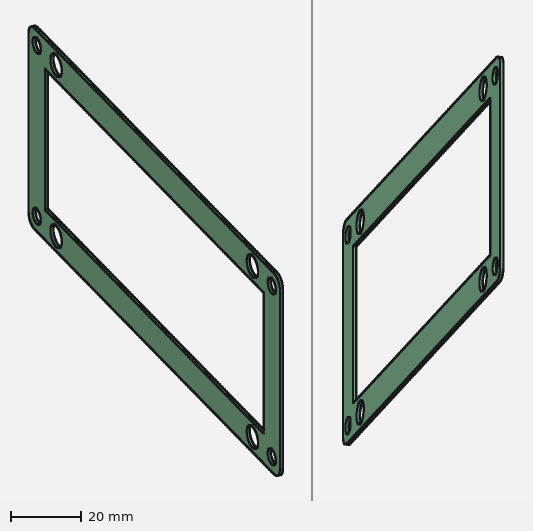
import cadquery as cq

length = 155.0
height = 67.3
thickness = 1.0
corner_radius = 3.5

border = 10.0
window_length = length - 2 * border
window_height = height - 2 * border

corner_hole_diameter = 5.0
inner_hole_diameter = 7.0
corner_hole_spacing = length - border
inner_hole_spacing = 121.0
row_spacing = height - border


def drill_four(plate, spacing, diameter):
    """Cut four through holes at the corners of a centered rectangle."""
    return (
        plate.faces("<Y").workplane(centerOption="CenterOfBoundBox")
        .rect(spacing, row_spacing, forConstruction=True)
        .vertices()
        .hole(diameter)
    )


frame = cq.Workplane("XY").box(length, thickness, height)
frame = frame.edges("|Y").fillet(corner_radius)

window = cq.Workplane("XY").box(window_length, thickness, window_height)
frame = frame.cut(window)

frame = drill_four(frame, corner_hole_spacing, corner_hole_diameter)
frame = drill_four(frame, inner_hole_spacing, inner_hole_diameter)

result = frame